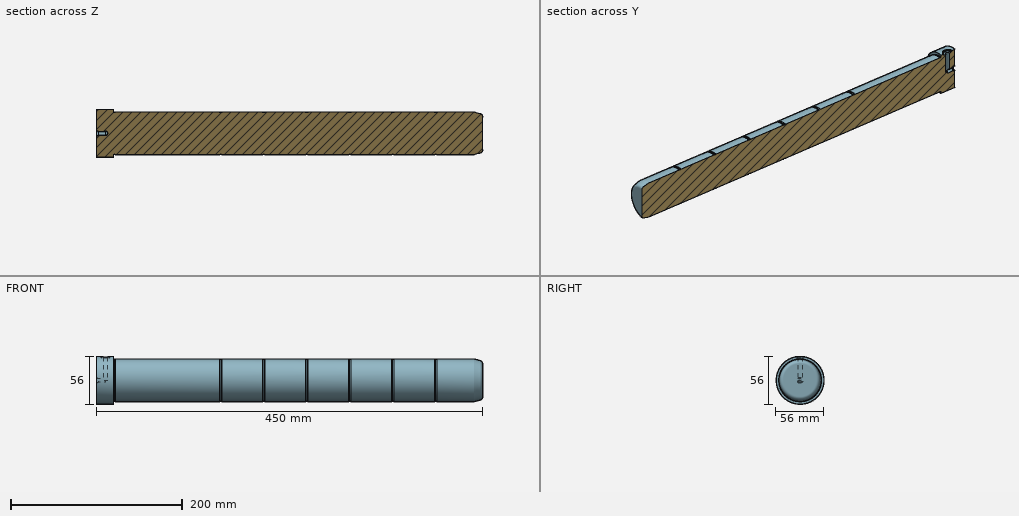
import cadquery as cq
import math

total_length = 450.0
head_diameter = 56.0
head_length = 20.0
head_radius = head_diameter / 2
shank_diameter = 50.0
shank_radius = shank_diameter / 2

relief_width = 2.0
relief_depth = 0.4

groove_count = 6
first_groove_center = 145.0
groove_pitch = 50.0
groove_width = 3.0
groove_depth = 0.5

lead_length = 10.0
lead_angle = 15.0
lead_drop = lead_length * math.tan(math.radians(lead_angle))
tip_radius = 4.0

port_x = 10.5
port_mouth_diameter = 12.0
port_mouth_depth = 1.0
port_bore_diameter = 9.5
port_bore_depth = 2.0
port_oil_diameter = 5.0
port_oil_depth = head_radius

center_mouth_diameter = 6.7
countersink_half_angle = math.radians(30)
center_pilot_diameter = 4.0
center_hole_depth = port_x


def add_v_groove(profile, center_x, width, depth):
    """Continue the shank outline along and through a V groove."""
    return (
        profile.lineTo(center_x - width / 2, shank_radius)
        .lineTo(center_x, shank_radius - depth)
        .lineTo(center_x + width / 2, shank_radius)
    )


def make_body():
    """Revolve the head, grooved shank and lead-in about the X axis."""
    relief_center = head_length + relief_width / 2
    profile = (
        cq.Workplane("XZ")
        .lineTo(0, head_radius)
        .lineTo(head_length, head_radius)
    )
    profile = add_v_groove(profile, relief_center, relief_width, relief_depth)
    for index in range(groove_count):
        groove_center = first_groove_center + index * groove_pitch
        profile = add_v_groove(profile, groove_center, groove_width, groove_depth)
    profile = (
        profile.lineTo(total_length - lead_length, shank_radius)
        .lineTo(total_length, shank_radius - lead_drop)
        .lineTo(total_length, 0)
        .close()
    )
    body = profile.revolve(360, (0, 0, 0), (1, 0, 0))
    return body.faces(">X").edges().fillet(tip_radius)


def make_port_step(diameter, depth):
    """Vertical cylinder reaching down from the top of the head."""
    return (
        cq.Workplane("XY", origin=(port_x, 0, head_radius - depth))
        .circle(diameter / 2)
        .extrude(depth)
    )


def make_grease_port():
    """Stepped vertical hole from the top of the head down to the pin axis."""
    mouth = make_port_step(port_mouth_diameter, port_mouth_depth)
    bore = make_port_step(port_bore_diameter, port_bore_depth)
    oil_drilling = make_port_step(port_oil_diameter, port_oil_depth)
    return mouth.union(bore).union(oil_drilling)


def make_center_hole():
    """Pilot along the pin axis with a 60 degree countersink in the head face."""
    mouth_radius = center_mouth_diameter / 2
    pilot_radius = center_pilot_diameter / 2
    countersink_depth = (mouth_radius - pilot_radius) / math.tan(countersink_half_angle)
    return (
        cq.Workplane("XY")
        .moveTo(0, 0)
        .lineTo(0, mouth_radius)
        .lineTo(countersink_depth, pilot_radius)
        .lineTo(center_hole_depth, pilot_radius)
        .lineTo(center_hole_depth, 0)
        .close()
        .revolve(360, (0, 0, 0), (1, 0, 0))
    )


result = make_body().cut(make_grease_port()).cut(make_center_hole())